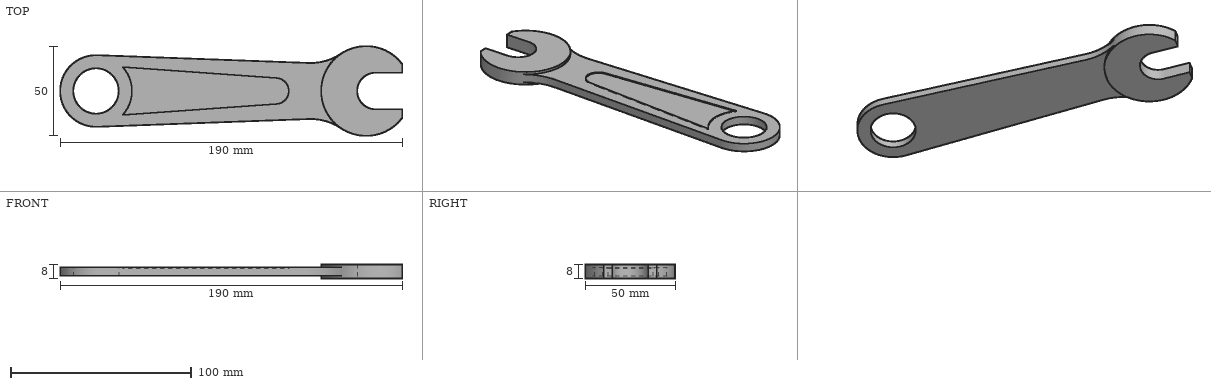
import cadquery as cq
import math

LENGTH = 190.0
HEAD_THICKNESS = 8.0
HANDLE_THICKNESS = 5.0

RING_RADIUS = 20.0
HOLE_RADIUS = 12.5

HEAD_DIAMETER = 50.0
HEAD_RADIUS = HEAD_DIAMETER / 2
HEAD_X = 150.0
JAW_TIP_X = LENGTH - RING_RADIUS
SLOT_RADIUS = 10.0
SLOT_BOTTOM_X = HEAD_X - 5.0

SIDE_TO_HEAD_CENTRE = 14.5
NECK_FILLET_RADIUS = 30.0

POCKET_DEPTH = 0.5
POCKET_ARC_RADIUS = RING_RADIUS
POCKET_CORNER_Y = 13.3
POCKET_TIP_RADIUS = 7.2
POCKET_TIP_X = 107.0


def disc(x, radius, thickness):
    """Flat disc centred on the mid-plane."""
    return cq.Workplane("XY").center(x, 0).circle(radius).extrude(thickness / 2, both=True)


def make_handle():
    lean = math.asin((RING_RADIUS - SIDE_TO_HEAD_CENTRE) / HEAD_X)
    normal_x, normal_y = math.sin(lean), math.cos(lean)
    ring_x, ring_y = RING_RADIUS * normal_x, RING_RADIUS * normal_y

    centre_gap = HEAD_RADIUS + NECK_FILLET_RADIUS
    across = SIDE_TO_HEAD_CENTRE + NECK_FILLET_RADIUS
    along = math.sqrt(centre_gap**2 - across**2)
    fillet_x = HEAD_X - along * normal_y + across * normal_x
    fillet_y = along * normal_x + across * normal_y

    side_x = fillet_x - NECK_FILLET_RADIUS * normal_x
    side_y = fillet_y - NECK_FILLET_RADIUS * normal_y
    head_share = HEAD_RADIUS / centre_gap
    neck_x = HEAD_X + (fillet_x - HEAD_X) * head_share
    neck_y = fillet_y * head_share
    start_angle = math.atan2(side_y - fillet_y, side_x - fillet_x)
    end_angle = math.atan2(neck_y - fillet_y, neck_x - fillet_x)
    mid_angle = (start_angle + end_angle) / 2
    mid_x = fillet_x + NECK_FILLET_RADIUS * math.cos(mid_angle)
    mid_y = fillet_y + NECK_FILLET_RADIUS * math.sin(mid_angle)

    return (
        cq.Workplane("XY")
        .moveTo(ring_x, ring_y)
        .lineTo(side_x, side_y)
        .threePointArc((mid_x, mid_y), (neck_x, neck_y))
        .lineTo(neck_x, -neck_y)
        .threePointArc((mid_x, -mid_y), (side_x, -side_y))
        .lineTo(ring_x, -ring_y)
        .threePointArc((-RING_RADIUS, 0), (ring_x, ring_y))
        .close()
        .extrude(HANDLE_THICKNESS / 2, both=True)
    )


def make_jaw_slot():
    centre_x = SLOT_BOTTOM_X + SLOT_RADIUS
    straight = (
        cq.Workplane("XY")
        .box(HEAD_RADIUS, 2 * SLOT_RADIUS, HEAD_THICKNESS, centered=(False, True, True))
        .translate((centre_x, 0, 0))
    )
    return disc(centre_x, SLOT_RADIUS, HEAD_THICKNESS).union(straight)


def make_tip_trim():
    """Block beyond the flat jaw tips."""
    return (
        cq.Workplane("XY")
        .box(HEAD_RADIUS, 2 * HEAD_RADIUS, HEAD_THICKNESS, centered=(False, True, True))
        .translate((JAW_TIP_X, 0, 0))
    )


def make_pocket():
    corner_x = math.sqrt(POCKET_ARC_RADIUS**2 - POCKET_CORNER_Y**2)
    to_tip_x = POCKET_TIP_X - POCKET_TIP_RADIUS - corner_x
    to_tip = math.hypot(to_tip_x, POCKET_CORNER_Y)
    tangent_angle = math.acos(POCKET_TIP_RADIUS / to_tip)
    normal_angle = math.atan2(POCKET_CORNER_Y, -to_tip_x) - tangent_angle
    tangent_x = POCKET_TIP_X - POCKET_TIP_RADIUS + POCKET_TIP_RADIUS * math.cos(normal_angle)
    tangent_y = POCKET_TIP_RADIUS * math.sin(normal_angle)
    return (
        cq.Workplane("XY", origin=(0, 0, HANDLE_THICKNESS / 2 - POCKET_DEPTH))
        .moveTo(corner_x, POCKET_CORNER_Y)
        .lineTo(tangent_x, tangent_y)
        .threePointArc((POCKET_TIP_X, 0), (tangent_x, -tangent_y))
        .lineTo(corner_x, -POCKET_CORNER_Y)
        .threePointArc((POCKET_ARC_RADIUS, 0), (corner_x, POCKET_CORNER_Y))
        .close()
        .extrude(POCKET_DEPTH)
    )


wrench = make_handle().union(disc(HEAD_X, HEAD_RADIUS, HEAD_THICKNESS))
wrench = wrench.cut(make_jaw_slot()).cut(make_tip_trim())
wrench = wrench.cut(disc(0, HOLE_RADIUS, HANDLE_THICKNESS))
wrench = wrench.cut(make_pocket())

result = wrench.translate((RING_RADIUS - LENGTH / 2, 0, 0))